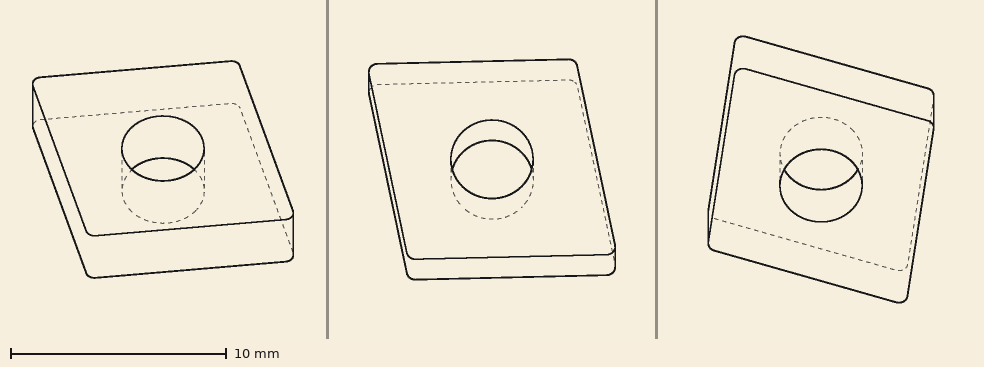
import cadquery as cq
import math

length = 11.2
width = 9.53
thickness = 3.18
acute_angle = math.radians(80)
corner_radius = 0.4
hole_diameter = 3.81

corner_loss = corner_radius * (1 / math.tan(acute_angle / 2) - 1)
sharp_length = length + 2 * corner_loss
lean = width / math.tan(acute_angle)
half_length = sharp_length / 2
half_width = width / 2

body = (
    cq.Workplane("XY")
    .polyline([
        (-half_length, -half_width),
        (half_length - lean, -half_width),
        (half_length, half_width),
        (-half_length + lean, half_width),
    ])
    .close()
    .extrude(thickness)
    .edges("|Z")
    .fillet(corner_radius)
)

result = body.faces(">Z").workplane(origin=(0, 0, thickness)).hole(hole_diameter)